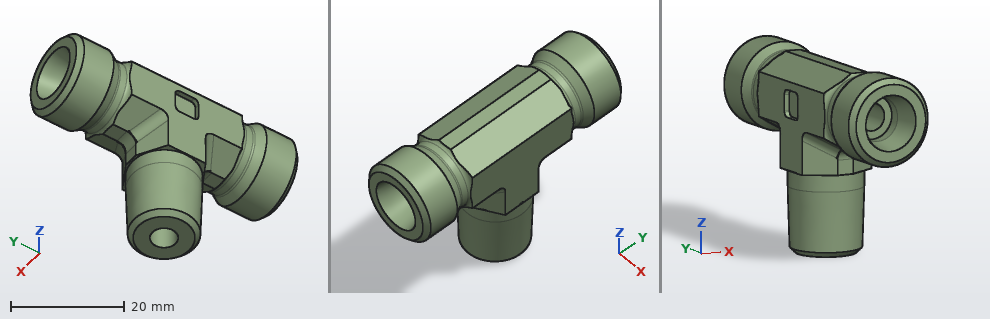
import math

import cadquery as cq


run_half_length = 24.0
branch_length = 27.0

hex_across_flats = 14.0
flat_half_height = 7.2
branch_body_length = 12.0
body_fillet_radius = 2.0

thread_diameter = 16.0
thread_chamfer = 1.0
thread_length = 7.4
runout_angle = 30.0
groove_diameter = 13.7
groove_end = 11.0
runout_fillet_radius = 0.8
shoulder_fillet_radius = 1.0

stem_diameter = 13.63
stem_straight_length = 3.0
taper_ratio = 1 / 16
stem_chamfer = 1.0

bore_diameter = 5.0
socket_diameter = 8.0
socket_depth = 7.0
cone_mouth_diameter = 10.1
cone_half_angle = 12.0

panel_size = 5.0
panel_corner_radius = 1.0
panel_depth = 1.0

hex_half_width = hex_across_flats / 2
hex_side_half = hex_half_width / math.sqrt(3)
hex_corner_height = 2 * hex_side_half
flat_half_width = (hex_corner_height - flat_half_height) * math.sqrt(3)
thread_radius = thread_diameter / 2
groove_radius = groove_diameter / 2
groove_inner_y = run_half_length - groove_end


def fillet_offsets(radius, angle):
    """Axial and radial reach of a fillet that leaves the groove and turns by `angle` degrees."""
    turn = math.radians(angle)
    return radius * math.sin(turn), radius * (1 - math.cos(turn))


def both_ends(end_shape):
    """The +Y end shape together with its mirror image at the -Y end."""
    return end_shape.union(end_shape.mirror("XZ"))


def cut_corner_hexagon(plane, length):
    """Bar with the hexagonal section, extruded from the origin along the plane's normal."""
    quarter = [(hex_half_width, hex_side_half), (flat_half_width, flat_half_height)]
    upper = quarter + [(-x, y) for x, y in reversed(quarter)]
    lower = [(-x, -y) for x, y in upper]
    return cq.Workplane(plane).polyline(upper + lower).close().extrude(length)


def is_inside_corner(edge):
    """True for edges that lie where the run and branch hexagons meet."""
    start = edge.startPoint()
    end = edge.endPoint()
    tolerance = 1e-4
    return all(abs(abs(p.y) + p.z) < tolerance and abs(p.y) > tolerance for p in (start, end))


def make_body():
    """Run and branch hexagons, blended where they meet."""
    run = both_ends(cut_corner_hexagon("XZ", -groove_inner_y))
    branch = cut_corner_hexagon("XY", -branch_body_length)
    body = run.union(branch)
    corners = [edge for edge in body.edges().vals() if is_inside_corner(edge)]
    return body.newObject(corners).fillet(body_fillet_radius)


def make_threaded_end():
    """Groove, runout cone, thread and end chamfer at the +Y end, revolved about Y."""
    runout_axial, runout_radial = fillet_offsets(runout_fillet_radius, runout_angle)
    runout_middle_axial, runout_middle_radial = fillet_offsets(runout_fillet_radius, runout_angle / 2)

    runout_y = run_half_length - thread_length
    cone_end_radius = groove_radius + runout_radial
    cone_length = (thread_radius - cone_end_radius) / math.tan(math.radians(runout_angle))
    cone_end_y = runout_y - cone_length
    groove_outer_y = cone_end_y - runout_axial

    return (
        cq.Workplane("XY")
        .moveTo(0, run_half_length)
        .lineTo(thread_radius - thread_chamfer, run_half_length)
        .lineTo(thread_radius, run_half_length - thread_chamfer)
        .lineTo(thread_radius, runout_y)
        .lineTo(cone_end_radius, cone_end_y)
        .threePointArc(
            (groove_radius + runout_middle_radial, groove_outer_y + runout_middle_axial),
            (groove_radius, groove_outer_y),
        )
        .lineTo(groove_radius, groove_inner_y)
        .lineTo(0, groove_inner_y)
        .close()
        .revolve(360, (0, 0, 0), (0, 1, 0))
    )


def make_shoulder_cut():
    """Ring turned off the +Y end of the run hexagon, leaving a quarter-round fillet to the shoulder."""
    quarter_turn = 90.0
    middle_axial, middle_radial = fillet_offsets(shoulder_fillet_radius, quarter_turn / 2)
    shoulder_y = groove_inner_y - shoulder_fillet_radius
    outer_radius = thread_radius + shoulder_fillet_radius
    return (
        cq.Workplane("XY")
        .moveTo(groove_radius, groove_inner_y)
        .threePointArc(
            (groove_radius + middle_radial, groove_inner_y - middle_axial),
            (groove_radius + shoulder_fillet_radius, shoulder_y),
        )
        .lineTo(outer_radius, shoulder_y)
        .lineTo(outer_radius, groove_inner_y)
        .close()
        .revolve(360, (0, 0, 0), (0, 1, 0))
    )


def make_stem():
    """Branch stem: short cylinder, tapered thread and end chamfer, revolved about Z."""
    start_z = -branch_body_length
    taper_z = start_z - stem_straight_length
    chamfer_z = -branch_length + stem_chamfer
    stem_radius = stem_diameter / 2
    taper_end_radius = stem_radius - (taper_z - chamfer_z) * taper_ratio / 2
    return (
        cq.Workplane("XZ")
        .polyline([
            (0, start_z),
            (stem_radius, start_z),
            (stem_radius, taper_z),
            (taper_end_radius, chamfer_z),
            (taper_end_radius - stem_chamfer, -branch_length),
            (0, -branch_length),
        ])
        .close()
        .revolve(360, (0, 0, 0), (0, 1, 0))
    )


def make_socket():
    """Tube socket at the +Y end: conical mouth, then a straight part with a flat floor."""
    mouth_radius = cone_mouth_diameter / 2
    socket_radius = socket_diameter / 2
    cone_depth = (mouth_radius - socket_radius) / math.tan(math.radians(cone_half_angle))
    return (
        cq.Workplane("XY")
        .polyline([
            (0, run_half_length),
            (mouth_radius, run_half_length),
            (socket_radius, run_half_length - cone_depth),
            (socket_radius, run_half_length - socket_depth),
            (0, run_half_length - socket_depth),
        ])
        .close()
        .revolve(360, (0, 0, 0), (0, 1, 0))
    )


def make_panel():
    """Square pocket with rounded corners, sunk into the -X flat and centred on the run axis."""
    return (
        cq.Workplane("YZ", origin=(-hex_half_width, 0, 0))
        .rect(panel_size, panel_size)
        .extrude(panel_depth)
        .edges("|X")
        .fillet(panel_corner_radius)
    )


def make_bores():
    """Bore through the whole run, joined by the bore of the branch."""
    bore_radius = bore_diameter / 2
    run_bore = cq.Workplane("XZ").circle(bore_radius).extrude(run_half_length, both=True)
    branch_bore = cq.Workplane("XY").circle(bore_radius).extrude(-branch_length)
    return run_bore.union(branch_bore)


result = (
    make_body()
    .cut(both_ends(make_shoulder_cut()))
    .union(both_ends(make_threaded_end()))
    .union(make_stem())
    .cut(both_ends(make_socket()))
    .cut(make_bores())
    .cut(make_panel())
)